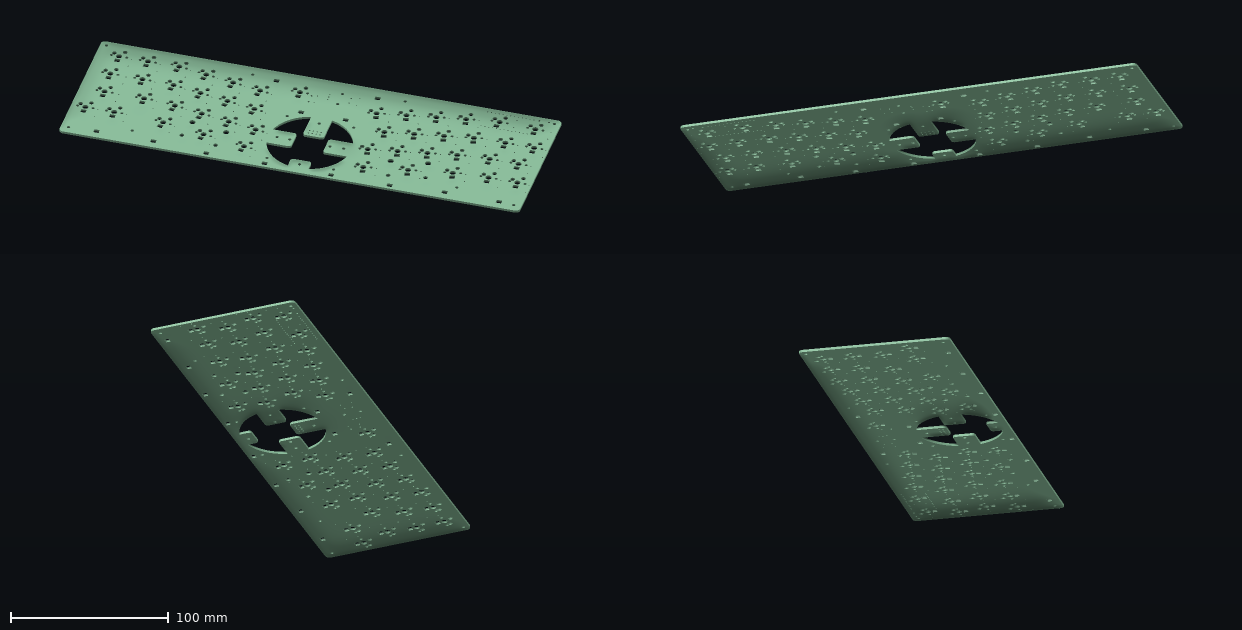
import cadquery as cq
import math


board_length = 304.35
board_width = 98.8
board_thickness = 1.6
board_corner_radius = 3.0

key_pitch = 19.05
footprint_grid = 1.27
stem_diameter = 4.0
peg_diameter = 2.0
peg_offset = 4 * footprint_grid
contact_diameter = 3.0
contact_points = [(-3 * footprint_grid, 2 * footprint_grid), (2 * footprint_grid, 4 * footprint_grid)]
led_window_length = 3.6
led_window_width = 3.0
led_window_y = -4.5
shifted_window_x = -0.9

stabilizer_span = 23.876
stabilizer_large_diameter = 4.0
stabilizer_large_y = 8.24
stabilizer_small_diameter = 3.05
stabilizer_small_y = -6.985

diode_lead_diameter = 0.81
diode_lead_pitch = 7.62
diode_x = 8.4
diode_top_y = -0.8

left_tilt = -10
right_tilt = 10

usual_diode = (diode_x, diode_top_y)
four_keys = (0, 1, 2, 3)
wide_key_position = 1.5
wide_middle_key = (0, wide_key_position, 3)
two_keys = (0, 1)
one_key = (0,)
key_rows = [
    (-97.48, 37.0, four_keys, left_tilt, usual_diode),
    (-95.53, 17.32, four_keys, left_tilt, usual_diode),
    (-88.7, -3.25, four_keys, left_tilt, usual_diode),
    (-90.91, -22.2, wide_middle_key, left_tilt, usual_diode),
    (36.53, 24.69, four_keys, right_tilt, usual_diode),
    (46.76, 7.14, four_keys, right_tilt, usual_diode),
    (41.66, -13.1, four_keys, right_tilt, usual_diode),
    (44.18, -32.02, wide_middle_key, right_tilt, usual_diode),
    (-137.17, 36.67, two_keys, 0, usual_diode),
    (-137.46, 17.69, one_key, 0, (10.7, diode_top_y)),
    (-116.23, 17.69, one_key, 0, usual_diode),
    (-135.67, -1.43, one_key, 0, (9.6, diode_top_y)),
    (-109.56, -1.43, one_key, 0, usual_diode),
    (-142.84, -20.48, two_keys, 0, usual_diode),
    (114.1, 37.6, one_key, 0, (10.15, 4.6), shifted_window_x),
    (137.93, 36.67, one_key, 0, (10.5, -0.3)),
    (123.64, 17.69, one_key, 0, usual_diode),
    (142.69, 17.69, one_key, 0, (7.9, diode_top_y)),
    (118.86, -1.43, two_keys, 0, usual_diode),
    (123.64, -20.48, one_key, 0, usual_diode),
    (142.69, -20.48, one_key, 0, (7.9, diode_top_y)),
    (-16.44, 32.48, one_key, 0, (11.9, diode_top_y)),
]

ball_x = 4.58
ball_y = -17.2
ball_opening_radius = 27.5
tab_half_width = 6.87
side_tab_half_width = 7.2
side_tab_end = 10.54
top_tab_end = 7.2
bottom_tab_end = 19.0
tab_corner_radius = 2.0
ball_mount_x = 4.85
ball_mount_y = -16.97
ball_mount_offset = 22.0
ball_mount_row_pitch = 22.92
side_tab_hole_offset = 13.3
top_tab_hole_y = 21.3
bottom_tab_hole_y = -23.45
sensor_header_y = 11.2
sensor_header_columns = 4

header_pitch = 2.54
header_pin_diameter = 0.81
sensor_pin_diameter = 1.02
controller_x = 119.1
controller_y = 38.03
controller_row_gap = 15.24
controller_pins_per_row = 13

lead_diameter = 1.3
lead_points = [(-8.25, 30.71), (-8.25, 24.29), (137.96, 45.84), (144.38, 45.84)]

encoder_x = 10.08
encoder_y = 32.54
encoder_tab_y = 5.5
encoder_pin_pitch = 2.5
encoder_pin_diameter = 1.0
encoder_signal_x = -7.5
encoder_switch_x = 6.7
encoder_diode = (21.9, 36.75)

mount_diameter = 2.2
mount_points = [
    (-148.05, 45.38),
    (148.05, 45.38),
    (-147.13, -44.0),
    (147.13, -44.0),
    (-50.3, 41.71),
    (50.5, 41.71),
    (-107.26, -36.21),
    (107.26, -36.21),
]
underglow_points = [
    (-34.13, 39.77),
    (32.79, 39.77),
    (-9.88, 12.38),
    (19.62, 12.38),
    (-129.0, -43.09),
    (-91.42, -43.09),
    (101.09, -43.09),
    (137.05, -43.09),
    (-55.67, -45.84),
    (-17.17, -45.84),
    (26.83, -45.84),
    (65.55, -45.84),
]


def place(origin, tilt, point):
    """Turn a local point by the tilt in degrees and move it to the origin."""
    angle = math.radians(tilt)
    u, v = point
    x = origin[0] + u * math.cos(angle) - v * math.sin(angle)
    y = origin[1] + u * math.sin(angle) + v * math.cos(angle)
    return (x, y)


def round_cutters(points, diameter):
    return cq.Workplane("XY").pushPoints(points).circle(diameter / 2).extrude(board_thickness).vals()


def window_cutter(center, tilt):
    window = cq.Workplane("XY").rect(led_window_length, led_window_width).extrude(board_thickness)
    return window.rotate((0, 0, 0), (0, 0, 1), tilt).translate((*center, 0)).val()


def switch_cutters(origin, tilt, window_x):
    pegs = [place(origin, tilt, (side * peg_offset, 0)) for side in (-1, 1)]
    contacts = [place(origin, tilt, point) for point in contact_points]
    window_center = place(origin, tilt, (window_x, led_window_y))
    cutters = round_cutters([origin], stem_diameter)
    cutters += round_cutters(pegs, peg_diameter)
    cutters += round_cutters(contacts, contact_diameter)
    cutters.append(window_cutter(window_center, tilt))
    return cutters


def diode_cutters(origin, tilt, top_lead):
    bottom_lead = (top_lead[0], top_lead[1] - diode_lead_pitch)
    leads = [place(origin, tilt, lead) for lead in (top_lead, bottom_lead)]
    return round_cutters(leads, diode_lead_diameter)


def stabilizer_cutters(origin, tilt):
    sides = (-stabilizer_span / 2, stabilizer_span / 2)
    large = [place(origin, tilt, (side, stabilizer_large_y)) for side in sides]
    small = [place(origin, tilt, (side, stabilizer_small_y)) for side in sides]
    cutters = round_cutters(large, stabilizer_large_diameter)
    return cutters + round_cutters(small, stabilizer_small_diameter)


def key_row_cutters(first_x, first_y, positions, tilt, top_lead, window_x=0):
    cutters = []
    for position in positions:
        origin = place((first_x, first_y), tilt, (position * key_pitch, 0))
        cutters += switch_cutters(origin, tilt, window_x)
        cutters += diode_cutters(origin, tilt, top_lead)
        if position == wide_key_position:
            cutters += stabilizer_cutters(origin, tilt)
    return cutters


def tab(x_min, x_max, y_min, y_max, rounded_edges):
    """Block given relative to the ball centre, with its free corners rounded."""
    block = cq.Workplane("XY").box(x_max - x_min, y_max - y_min, board_thickness, centered=False)
    block = block.edges("|Z").edges(rounded_edges).fillet(tab_corner_radius)
    return block.translate((ball_x + x_min, ball_y + y_min, 0))


def ball_opening_cutters():
    rim = ball_opening_radius + tab_corner_radius
    opening = cq.Workplane("XY").center(ball_x, ball_y).circle(ball_opening_radius).extrude(board_thickness)
    opening = opening.cut(tab(-rim, -side_tab_end, -side_tab_half_width, side_tab_half_width, ">X"))
    opening = opening.cut(tab(side_tab_end, rim, -side_tab_half_width, side_tab_half_width, "<X"))
    opening = opening.cut(tab(-tab_half_width, tab_half_width, top_tab_end, rim, "<Y"))
    opening = opening.cut(tab(-tab_half_width, tab_half_width, -rim, -bottom_tab_end, ">Y"))
    return opening.vals()


def ball_mount_cutters():
    columns = [ball_mount_x + side * ball_mount_offset for side in (-1, 1)]
    rows = [ball_mount_y + i * ball_mount_row_pitch for i in (-1, 0, 1)]
    points = [(x, y) for x in columns for y in rows]
    points += [(ball_x + side * side_tab_hole_offset, ball_y) for side in (-1, 1)]
    points += [(ball_x, ball_y + y) for y in (top_tab_hole_y, bottom_tab_hole_y)]
    return round_cutters(points, mount_diameter)


def pin_grid(center_x, center_y, columns, row_gap):
    """Points of a two-row header."""
    first_x = center_x - (columns - 1) * header_pitch / 2
    rows = (center_y - row_gap / 2, center_y + row_gap / 2)
    return [(first_x + i * header_pitch, y) for i in range(columns) for y in rows]


def header_cutters():
    sensor = pin_grid(ball_x, ball_y + sensor_header_y, sensor_header_columns, header_pitch)
    controller = pin_grid(controller_x, controller_y, controller_pins_per_row, controller_row_gap)
    return round_cutters(sensor, sensor_pin_diameter) + round_cutters(controller, header_pin_diameter)


def encoder_cutters():
    tabs = [(encoder_x, encoder_y + side * encoder_tab_y) for side in (-1, 1)]
    signal_pins = [(encoder_x + encoder_signal_x, encoder_y + i * encoder_pin_pitch) for i in (-1, 0, 1)]
    switch_pins = [(encoder_x + encoder_switch_x, encoder_y + i * encoder_pin_pitch) for i in (-1, 1)]
    cutters = round_cutters(tabs, mount_diameter)
    cutters += round_cutters(signal_pins + switch_pins, encoder_pin_diameter)
    return cutters + diode_cutters((0, 0), 0, encoder_diode)


board = cq.Workplane("XY").box(board_length, board_width, board_thickness, centered=(True, True, False))
board = board.edges("|Z").fillet(board_corner_radius)

cutters = []
for row in key_rows:
    cutters += key_row_cutters(*row)
cutters += ball_opening_cutters()
cutters += ball_mount_cutters()
cutters += header_cutters()
cutters += encoder_cutters()
cutters += round_cutters(lead_points, lead_diameter)
cutters += round_cutters(mount_points, mount_diameter)
cutters += [window_cutter(center, 0) for center in underglow_points]

result = cq.Workplane(board.val().cut(*cutters))